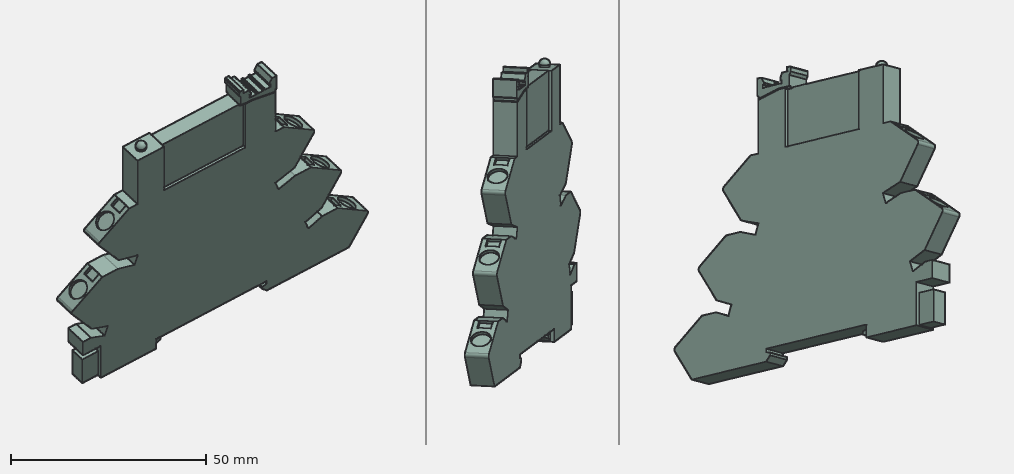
import math

import cadquery as cq

thickness = 6.3
tower_half_length = 22.1
tower_top = 71.2
tower_clearance = 0.3

wire_angle = 35.0
nose_radius = 0.85
upper_tier_corner = 24.7
middle_tier_corner = 33.3
lower_tier_corner = 41.9
upper_tier_top = 55.6
middle_tier_top = 36.0
lower_tier_top = 16.3
entry_length = 12.3
underside_length = 11.6

upper_slot_root = (22.0, 37.1)
lower_slot_root = (31.5, 17.3)
slot_end = (1.0, -2.8)
upper_slot_mouth = 28.3
lower_slot_mouth = 36.9

ledge_end = 39.5
ledge_bottom = 11.5
heel = 33.8

rail_groove_top = 3.4
groove_fixed_end = 19.2
groove_foot_end = -16.1
hook_length = 1.4
hook_root_z = 2.6
hook_nose_top = 2.2
hook_nose_bottom = 1.4
foot_width = 4.3
foot_hook_root = -15.2
foot_pull_end = -38.9
foot_pull_bottom = 0.3
foot_pull_top = 8.8

entry_depth = 0.9
wire_hole_diameter = 5.2
wire_hole_from_nose = 5.8
release_slot_width = 3.6
release_slot_length = 2.6

lamp_y = -18.6
lamp_diameter = 3.0
lamp_neck_diameter = 2.65
lamp_neck_height = 0.6

relay_width = 4.6
relay_start = -13.5
relay_end = 12.4
clip_front = 11.0
clip_back = 22.3
clip_chamfer = 0.3
clip_base = tower_top + tower_clearance
clip_slope_start = 14.6
clip_slope_drop = 1.5
clip_back_step = 70.6
clip_arm_top = 75.5
clip_floor = 72.6
clip_floor_start = 13.8
clip_floor_end = 20.5
catch_overhang = 0.5
catch_bottom = 73.5
catch_top = 74.0
front_arm_top_end = 13.6
back_arm_top_end = 20.9
finger_tab_back = 11.8
finger_tab_front = 10.5
finger_tab_top = 76.6
finger_tab_bottom = 75.2
finger_tab_root = 74.3
rib_width = 0.5
rib_height = 0.6
back_rib_y = 18.3
front_rib_y = 16.1
saddle_width = 5.2
saddle_bottom = 70.9


def plate(points, width):
    """Closed Y-Z outline extruded evenly to both sides of the mid-plane."""
    return cq.Workplane("YZ").polyline(points).close().extrude(width / 2, both=True)


def block(width, y_range, z_range):
    """Box centred on the mid-plane."""
    (y0, y1), (z0, z1) = y_range, z_range
    return plate([(y0, z0), (y1, z0), (y1, z1), (y0, z1)], width)


def nose_point(corner, top):
    """Sharp end of a wire-entry face that starts at (corner, top)."""
    angle = math.radians(wire_angle)
    return (corner + entry_length * math.cos(angle), top - entry_length * math.sin(angle))


def tier_underside(nose):
    """Lower end of the face below a nose."""
    angle = math.radians(wire_angle)
    return (nose[0] - underside_length * math.sin(angle), nose[1] - underside_length * math.cos(angle))


upper_nose = nose_point(upper_tier_corner, upper_tier_top)
middle_nose = nose_point(middle_tier_corner, middle_tier_top)
lower_nose = nose_point(lower_tier_corner, lower_tier_top)


def slot_points(root, mouth, tier_top):
    """Slot between two tiers: both inner corners, then its lower mouth."""
    return [root, (root[0] + slot_end[0], root[1] + slot_end[1]), (mouth, tier_top)]


def stepped_side():
    """Tower foot and tiers common to both sides, from the tower down to the lower tier's top."""
    return [
        (tower_half_length, upper_tier_top),
        (upper_tier_corner, upper_tier_top),
        upper_nose,
        tier_underside(upper_nose),
        *slot_points(upper_slot_root, upper_slot_mouth, middle_tier_top),
        (middle_tier_corner, middle_tier_top),
        middle_nose,
        tier_underside(middle_nose),
        *slot_points(lower_slot_root, lower_slot_mouth, lower_tier_top),
    ]


def housing_outline():
    fixed_hook_nose = groove_fixed_end - hook_length
    back_side = [
        (clip_slope_start, tower_top),
        (tower_half_length, tower_top - clip_slope_drop),
        *stepped_side(),
        (lower_tier_corner, lower_tier_top),
        lower_nose,
        (lower_nose[0] - lower_nose[1] * math.tan(math.radians(wire_angle)), 0),
    ]
    rail_groove = [
        (groove_fixed_end, 0),
        (fixed_hook_nose, hook_nose_bottom),
        (fixed_hook_nose, hook_nose_top),
        (groove_fixed_end, hook_root_z),
        (groove_fixed_end, rail_groove_top),
        (groove_foot_end, rail_groove_top),
        (groove_foot_end, 0),
    ]
    front_side = [
        (-heel, 0),
        (-heel, ledge_bottom),
        (-ledge_end, ledge_bottom),
        (-ledge_end, lower_tier_top),
        *[(-y, z) for y, z in reversed(stepped_side())],
        (-tower_half_length, tower_top),
    ]
    return back_side + rail_groove + front_side


def round_noses(body):
    mirrored_noses = [(-y, z) for y, z in (upper_nose, middle_nose)]
    noses = [upper_nose, middle_nose, lower_nose, *mirrored_noses]
    for y, z in noses:
        edge = cq.selectors.NearestToPointSelector((0, y, z))
        body = body.edges("|X").edges(edge).fillet(nose_radius)
    return body


def wire_entry(nose, side):
    """Round wire hole and release slot sunk square into a wire-entry face; side is +1 or -1 along Y."""
    angle = math.radians(wire_angle)
    face = cq.Plane(
        origin=(0, side * nose[0], nose[1]),
        xDir=(0, -side * math.cos(angle), math.sin(angle)),
        normal=(0, side * math.sin(angle), math.cos(angle)),
    )
    slot_centre = entry_length - release_slot_length / 2
    hole = cq.Workplane(face).center(wire_hole_from_nose, 0).circle(wire_hole_diameter / 2).extrude(-entry_depth)
    slot = (
        cq.Workplane(face).center(slot_centre, 0)
        .rect(release_slot_length, release_slot_width).extrude(-entry_depth)
    )
    return hole.union(slot)


def sliding_foot():
    """Rail hook and pull block of the foot, narrower than the housing."""
    hook_nose = foot_hook_root + hook_length
    hook = plate([
        (groove_foot_end, rail_groove_top),
        (foot_hook_root, rail_groove_top),
        (foot_hook_root, hook_root_z),
        (hook_nose, hook_nose_top),
        (hook_nose, hook_nose_bottom),
        (groove_foot_end, foot_pull_bottom),
    ], foot_width)
    pull = block(foot_width, (foot_pull_end, -heel), (foot_pull_bottom, foot_pull_top))
    return hook, pull


def lamp():
    """Hemispherical lens on a short neck."""
    radius = lamp_diameter / 2
    neck_radius = lamp_neck_diameter / 2
    arc_mid = radius * math.sqrt(0.5)
    return (
        cq.Workplane("XZ", origin=(0, lamp_y, tower_top))
        .lineTo(neck_radius, 0)
        .lineTo(neck_radius, lamp_neck_height)
        .lineTo(radius, lamp_neck_height)
        .threePointArc((arc_mid, lamp_neck_height + arc_mid), (0, lamp_neck_height + radius))
        .close()
        .revolve(360, (0, 0, 0), (0, 1, 0))
    )


def make_housing():
    body = round_noses(plate(housing_outline(), thickness))
    body = body.cut(block(thickness, (relay_start, relay_end), (upper_tier_top, tower_top)))
    for side in (1, -1):
        body = body.cut(wire_entry(upper_nose, side))
        body = body.cut(wire_entry(middle_nose, side))
    body = body.cut(wire_entry(lower_nose, 1))
    for foot_piece in sliding_foot():
        body = body.union(foot_piece)
    return body.union(lamp())


def clip_outline():
    """Marker clip: two catching arms over a floor, with a finger tab on the -Y arm."""
    back_catch = clip_floor_end - catch_overhang
    front_catch = clip_floor_start + catch_overhang
    back_arm = [
        (tower_half_length, clip_base - clip_slope_drop),
        (tower_half_length, clip_back_step),
        (clip_back, clip_back_step + clip_chamfer),
        (clip_back, clip_arm_top),
        (back_arm_top_end, clip_arm_top),
        (back_catch, catch_top),
        (back_catch, catch_bottom),
        (clip_floor_end, catch_bottom),
        (clip_floor_end, clip_floor),
    ]
    front_arm = [
        (clip_floor_start, clip_floor),
        (clip_floor_start, catch_bottom),
        (front_catch, catch_bottom),
        (front_catch, catch_top),
        (front_arm_top_end, clip_arm_top),
        (finger_tab_back, clip_arm_top),
    ]
    finger_tab = [
        (finger_tab_back, finger_tab_top),
        (finger_tab_front + clip_chamfer, finger_tab_top),
        (finger_tab_front, finger_tab_top - clip_chamfer),
        (finger_tab_front, finger_tab_bottom),
        (clip_front, finger_tab_root),
    ]
    underside = [(clip_front, clip_base), (clip_slope_start, clip_base)]
    return back_arm + front_arm + finger_tab + underside


def make_relay():
    """Relay block carrying the marker clip on a saddle over its +Y end."""
    relay = block(relay_width, (relay_start, relay_end), (upper_tier_top, tower_top))
    saddle = block(saddle_width, (clip_front, relay_end), (saddle_bottom, clip_base))
    clip = plate(clip_outline(), thickness)
    for rib_y in (back_rib_y, front_rib_y):
        rib_range = (rib_y - rib_width / 2, rib_y + rib_width / 2)
        clip = clip.union(block(thickness, rib_range, (clip_floor, clip_floor + rib_height)))
    return relay.union(saddle).union(clip)


housing = make_housing()
relay = make_relay()
result = cq.Compound.makeCompound([housing.val(), relay.val()])